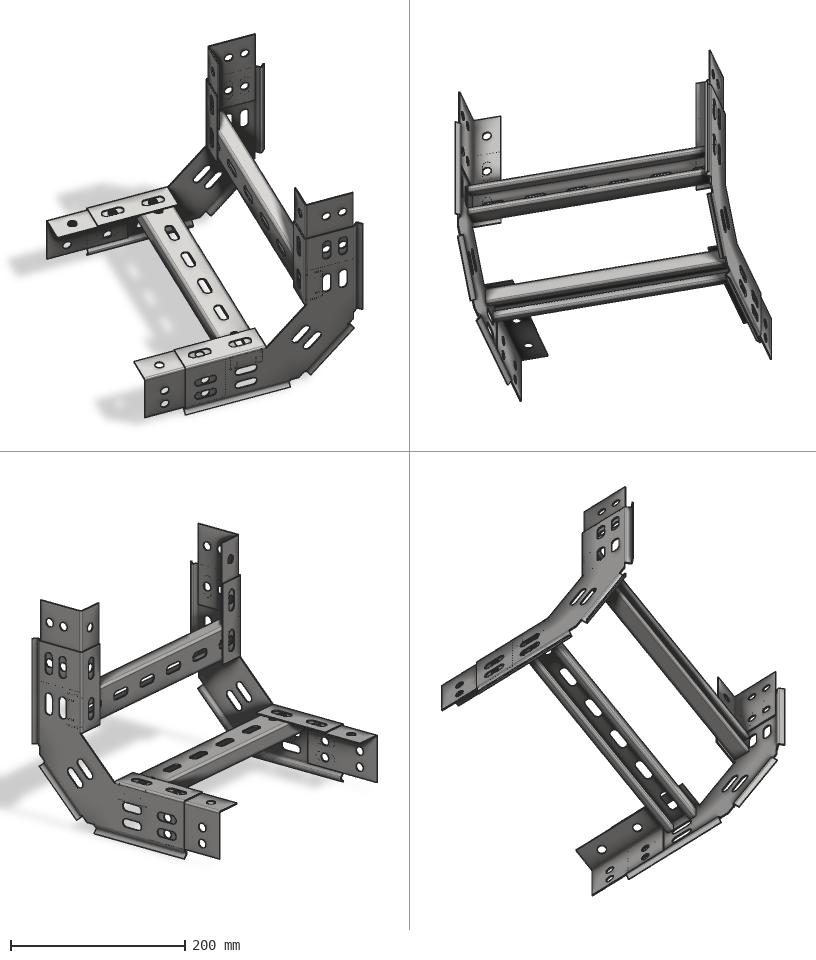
import cadquery as cq
import math


SHEET = 1.5
INNER_RADIUS = 1.0
OUTER_RADIUS = INNER_RADIUS + SHEET
CUT_REACH = 5.0
FOLD = 90.0
OVERLAP = 1.0

INNER_WIDTH = 300.0
RAIL_HEIGHT = 60.5
ARM_END = 220.0
ARM_MIRROR = (0, 1, 1)

LIP_DEPTH = 12.0
LIP_ANGLE = 45.0
LIP_RELIEF = 10.0
RAIL_FLANGE_WIDTH = 35.0
FLANGE_LENGTH = 100.0
DIAGONAL = 45.0
HEEL_CORNER = 80.0

SLOT_LENGTH = 27.0
HOLE_DIAMETER = 10.5
HOLE_PITCH = 50.0
FIRST_HOLE = HOLE_PITCH / 2
HOLE_COUNT = 2
ROW_OFFSET = 13.0
ROW_PITCH = 20.0
ROW_COUNT = 2
DIAGONAL_ROW_OFFSET = 24.0
FLANGE_HOLE_OFFSET = 17.0

SPLICE_LENGTH = 100.0
SPLICE_OVERHANG = 50.0

RUNG_WIDTH = 41.0
RUNG_DEPTH = 21.0
RUNG_RETURN = 9.5
RUNG_HOOK = 10.0
RUNG_INNER_RADIUS = 1.5
RUNG_OUTER_RADIUS = RUNG_INNER_RADIUS + SHEET
RUNG_SLOT_COUNT = 6

RAIL_FACE = LIP_DEPTH + RAIL_HEIGHT
INNER_FACE = RAIL_FACE - SHEET
BEND_START = RAIL_FACE - OUTER_RADIUS
FLANGE_START = ARM_END - FLANGE_LENGTH
ROW_DEPTHS = [LIP_DEPTH + ROW_OFFSET + row * ROW_PITCH for row in range(ROW_COUNT)]
HOLE_STEPS = [FIRST_HOLE + step * HOLE_PITCH for step in range(HOLE_COUNT)]
ARM_HEIGHTS = [ARM_END - step for step in HOLE_STEPS]
SPLICE_END = ARM_END + SPLICE_OVERHANG
SPLICE_HEIGHTS = [SPLICE_END - step for step in HOLE_STEPS]
RUNG_HEIGHT = ARM_HEIGHTS[-1]
FLANGE_HOLE_X = FLANGE_HOLE_OFFSET - INNER_WIDTH / 2


def bent_strip(plane, flats, turns, length, inner_radius=INNER_RADIUS):
    """Sheet whose mid line starts at the plane origin along its y axis.

    Flats and bends alternate, positive turns go towards the plane's x axis, and the
    section is extruded along the plane's normal.
    """
    x, y, heading = 0.0, 0.0, 0.0
    stations = [(x, y, heading)]
    middle_radius = inner_radius + SHEET / 2

    def advance(distance, turn):
        nonlocal x, y, heading
        heading += turn / 2
        x += distance * math.sin(heading)
        y += distance * math.cos(heading)
        heading += turn / 2
        stations.append((x, y, heading))

    for index, flat in enumerate(flats):
        advance(flat, 0)
        if index < len(turns):
            half_turn = math.radians(turns[index]) / 2
            chord = 2 * middle_radius * math.sin(abs(half_turn) / 2)
            advance(chord, half_turn)
            advance(chord, half_turn)

    def face(side):
        shift = side * SHEET / 2
        return [(px + shift * math.cos(a), py - shift * math.sin(a)) for px, py, a in stations]

    def trace(outline, points):
        outline = outline.lineTo(*points[1])
        for index in range(2, len(points), 3):
            outline = outline.threePointArc(points[index], points[index + 1])
            outline = outline.lineTo(*points[index + 2])
        return outline

    right_face = face(1)
    left_face = face(-1)[::-1]
    outline = trace(cq.Workplane(plane).moveTo(*right_face[0]), right_face)
    outline = trace(outline.lineTo(*left_face[0]), left_face)
    return outline.close().extrude(length)


def across_arms(body):
    """A body of the rising arm and its copy on the other arm."""
    return [body, body.mirror(ARM_MIRROR)]


def across_tray(body):
    """A body of the X < 0 side and its copy on the other side."""
    return [body, body.mirror("YZ")]


def opening(plane_name, u, v, length=HOLE_DIAMETER, angle=90.0):
    """Cutter through a sheet: a slot, or a round hole when no longer than it is wide."""
    sketch = cq.Workplane(plane_name).center(u, v)
    if length > HOLE_DIAMETER:
        sketch = sketch.slot2D(length, HOLE_DIAMETER, angle)
    else:
        sketch = sketch.circle(HOLE_DIAMETER / 2)
    return sketch.extrude(CUT_REACH, both=True)


def side_opening(depth, height, length=HOLE_DIAMETER, angle=90.0):
    """Cutter through the side plate at X < 0."""
    cutter = opening("YZ", -depth, height, length, angle)
    return cutter.translate((-INNER_WIDTH / 2, 0, 0))


def flange_opening(height, length=HOLE_DIAMETER):
    """Cutter through the flange of the rising arm at X < 0."""
    return opening("XZ", FLANGE_HOLE_X, height, length).translate((0, -INNER_FACE, 0))


def rail_lip(y, z, tilt, length):
    """V-shaped lip on a heel edge through (y, z), turned by tilt about X and centred there."""
    rise = math.sin(math.radians(LIP_ANGLE))
    bend_shift = OUTER_RADIUS * (1 - rise)
    bends_and_tip = (OUTER_RADIUS + 2 * INNER_RADIUS + SHEET) * rise
    leg_in = (LIP_DEPTH - bends_and_tip - bend_shift) / (2 * rise)
    leg_out = leg_in + bend_shift / rise

    tilt = math.radians(tilt)
    outward = cq.Vector(0, math.cos(tilt), -math.sin(tilt))
    along = cq.Vector(0, math.sin(tilt), math.cos(tilt))
    edge = cq.Vector(-(INNER_WIDTH + SHEET) / 2, y, z)
    start = edge - outward * OVERLAP - along * (length / 2)
    plane = cq.Plane(start, xDir=(1, 0, 0), normal=along)
    return bent_strip(plane, [OVERLAP, leg_in, leg_out], [LIP_ANGLE, -2 * LIP_ANGLE], length)


def rail_plate():
    outline = [
        (-LIP_DEPTH, ARM_END),
        (-BEND_START, ARM_END),
        (-BEND_START, FLANGE_START),
        (-FLANGE_START, BEND_START),
        (-ARM_END, BEND_START),
        (-ARM_END, LIP_DEPTH),
        (-HEEL_CORNER, LIP_DEPTH),
        (-LIP_DEPTH, HEEL_CORNER),
    ]
    plate = cq.Workplane("YZ", origin=(-INNER_WIDTH / 2, 0, 0))
    return plate.polyline(outline).close().extrude(-SHEET)


def rail_flange():
    start = (-(INNER_WIDTH + SHEET) / 2, -BEND_START + OVERLAP, ARM_END)
    plane = cq.Plane(start, xDir=(1, 0, 0), normal=(0, 0, -1))
    return bent_strip(plane, [OVERLAP, RAIL_FLANGE_WIDTH - OUTER_RADIUS], [FOLD], FLANGE_LENGTH)


def make_rail():
    straight_start = HEEL_CORNER + LIP_RELIEF
    straight_lip = rail_lip(
        -LIP_DEPTH, (straight_start + ARM_END) / 2, 0, ARM_END - straight_start)
    diagonal_middle = (LIP_DEPTH + HEEL_CORNER) / 2
    diagonal_length = (HEEL_CORNER - LIP_DEPTH) * math.sqrt(2) - 2 * LIP_RELIEF
    rail = rail_plate()
    rail = rail.union(rail_lip(-diagonal_middle, diagonal_middle, DIAGONAL, diagonal_length))
    for strip in (straight_lip, rail_flange()):
        for copy in across_arms(strip):
            rail = rail.union(copy)

    for height in ARM_HEIGHTS:
        slots = [side_opening(depth, height, SLOT_LENGTH) for depth in ROW_DEPTHS]
        slots.append(flange_opening(height, SLOT_LENGTH))
        for slot in slots:
            for cutter in across_arms(slot):
                rail = rail.cut(cutter)

    for row in range(ROW_COUNT):
        reach = (DIAGONAL_ROW_OFFSET + row * ROW_PITCH) / math.sqrt(2)
        place = diagonal_middle + reach
        rail = rail.cut(side_opening(place, place, SLOT_LENGTH, DIAGONAL))
    return rail


def make_splice():
    start = (-(INNER_WIDTH - SHEET) / 2, -LIP_DEPTH, SPLICE_END)
    plane = cq.Plane(start, xDir=(1, 0, 0), normal=(0, 0, -1))
    side_flat = INNER_FACE - LIP_DEPTH - OUTER_RADIUS
    flange_flat = RAIL_FLANGE_WIDTH - SHEET - OUTER_RADIUS
    splice = bent_strip(plane, [side_flat, flange_flat], [FOLD], SPLICE_LENGTH)
    for height in SPLICE_HEIGHTS:
        for depth in ROW_DEPTHS:
            splice = splice.cut(side_opening(depth, height))
        splice = splice.cut(flange_opening(height))
    return splice


def make_rung():
    hook_flat = RUNG_HOOK - RUNG_OUTER_RADIUS
    return_flat = RUNG_RETURN - 2 * RUNG_OUTER_RADIUS
    side_flat = RUNG_DEPTH - 2 * RUNG_OUTER_RADIUS
    web_flat = RUNG_WIDTH - 2 * RUNG_OUTER_RADIUS
    tip_depth = INNER_FACE - RUNG_DEPTH + RUNG_HOOK
    tip_height = RUNG_HEIGHT - RUNG_WIDTH / 2 + RUNG_RETURN - SHEET / 2
    start = (-INNER_WIDTH / 2, -tip_depth, tip_height)
    plane = cq.Plane(start, xDir=(0, 0, -1), normal=(1, 0, 0))
    half = [hook_flat, return_flat, side_flat]
    flats = half + [web_flat] + half[::-1]
    turns = [FOLD] * (len(flats) - 1)
    rung = bent_strip(plane, flats, turns, INNER_WIDTH, RUNG_INNER_RADIUS)
    for index in range(RUNG_SLOT_COUNT):
        x = (index - (RUNG_SLOT_COUNT - 1) / 2) * HOLE_PITCH
        slot = opening("XZ", x, RUNG_HEIGHT, SLOT_LENGTH, 0)
        rung = rung.cut(slot.translate((0, -INNER_FACE, 0)))
    return rung


rails = across_tray(make_rail())
splices = [copy for splice in across_tray(make_splice()) for copy in across_arms(splice)]

rung = make_rung()
for rail in rails:
    rung = rung.cut(rail)
rungs = across_arms(rung)

result = cq.Compound.makeCompound([body.val() for body in rails + splices + rungs])